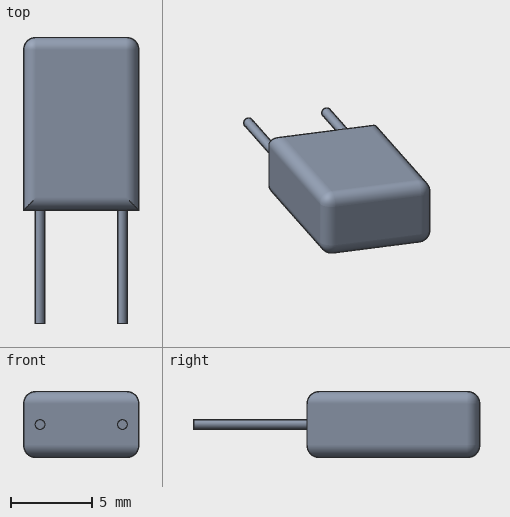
import cadquery as cq

body_width = 7.12
body_length = 10.67
body_height = 4.08
edge_radius = 0.76
lead_diameter = 0.6
lead_spacing = 5.09
overall_length = 17.66
lead_length = overall_length - body_length


def make_housing():
    """Box with rounded edges, except the two upright edges on the lead side."""
    box = cq.Workplane("XY").box(body_width, body_length, body_height)
    upright_back_edges = box.edges("|Z and >Y")
    flat_edges = box.edges("#Z")
    return box.newObject(upright_back_edges.vals() + flat_edges.vals()).fillet(edge_radius)


def make_lead(x):
    """Round wire that starts on the lead-side face of the housing."""
    return (
        cq.Workplane("XZ", origin=(x, -body_length / 2, 0))
        .circle(lead_diameter / 2)
        .extrude(lead_length)
    )


housing = make_housing()
leads = [make_lead(side * lead_spacing / 2) for side in (-1, 1)]

result = cq.Compound.makeCompound([housing.val(), *[lead.val() for lead in leads]])